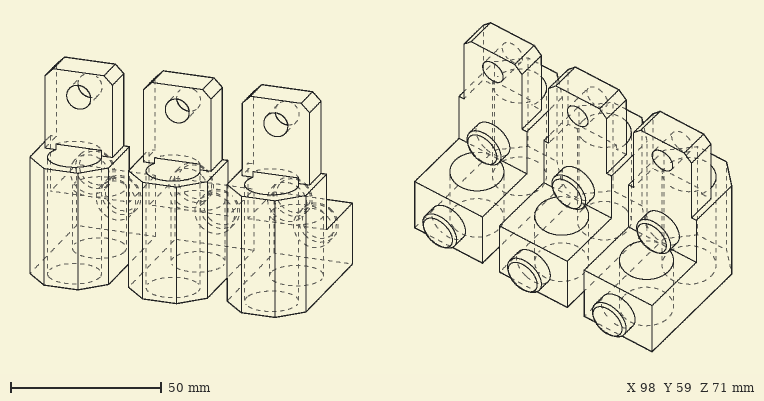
import cadquery as cq

lug_count = 3
lug_pitch = 35.0

block_width = 28.0
block_height = 42.0
step_height = 22.0
tall_length = 28.0
step_length = 25.0
block_length = tall_length + step_length
front_chamfer = 8.0

tab_width = 24.0
tab_thickness = 11.0
tab_height = 29.0
tab_chamfer = 3.0
tab_front = tall_length - tab_thickness
tab_top = block_height + tab_height
tab_hole_diameter = 8.5
tab_hole_drop = 9.0

cable_hole_diameter = 18.0
front_hole_y = 13.0
rear_hole_y = 37.0
tab_relief_height = 2.0

screw_diameter = 14.0
screw_length = 6.0
screw_chamfer = 1.0
lower_screw_z = step_height / 2
upper_screw_z = 30.0


def make_block():
    """L-shaped block with its two vertical front edges chamfered."""
    profile = [
        (0, 0),
        (block_length, 0),
        (block_length, step_height),
        (tall_length, step_height),
        (tall_length, block_height),
        (0, block_height),
    ]
    block = cq.Workplane("YZ").polyline(profile).close().extrude(block_width / 2, both=True)
    return block.faces("<Y").edges("|Z").chamfer(front_chamfer)


def make_tab():
    """Upright plate with chamfered top corners."""
    tab = cq.Workplane("XY").box(tab_width, tab_thickness, tab_height, centered=(True, False, False))
    tab = tab.faces(">Z").edges("|Y").chamfer(tab_chamfer)
    return tab.translate((0, tab_front, block_height))


def make_tab_hole():
    """Cutter for the bolt hole through the tab, along Y."""
    hole = cq.Workplane("XZ").circle(tab_hole_diameter / 2).extrude(-tab_thickness)
    return hole.translate((0, tab_front, tab_top - tab_hole_drop))


def make_cable_hole(center_y, height):
    """Cutter for a cable hole that starts at the underside."""
    return cq.Workplane("XY").center(0, center_y).circle(cable_hole_diameter / 2).extrude(height)


def make_screw_head(wall_y, center_z):
    """Screw head standing out of a rear wall, with a chamfered rim."""
    head = cq.Workplane("XZ").circle(screw_diameter / 2).extrude(-screw_length)
    head = head.faces(">Y").chamfer(screw_chamfer)
    return head.translate((0, wall_y, center_z))


def make_lug():
    lug = make_block().union(make_tab()).cut(make_tab_hole())
    lug = lug.cut(make_cable_hole(front_hole_y, block_height + tab_relief_height))
    lug = lug.cut(make_cable_hole(rear_hole_y, step_height))
    lug = lug.union(make_screw_head(block_length, lower_screw_z))
    return lug.union(make_screw_head(tall_length, upper_screw_z))


lugs = []
for index in range(lug_count):
    offset_x = (index - (lug_count - 1) / 2) * lug_pitch
    lugs.append(make_lug().translate((offset_x, 0, 0)))

result = cq.Compound.makeCompound([lug.val() for lug in lugs])